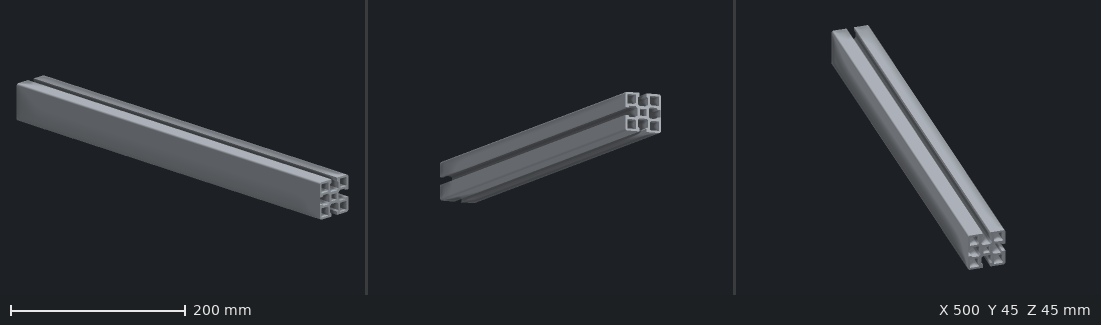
import cadquery as cq

length = 500.0
side = 45.0
edge_radius = 2.5
slot_opening = 9.0
slot_width = 13.0
core_width = 14.5
core_bore = 8.0
lip_depth = 4.0
lip_slope = 1.5
wall = 2.5
chamber_cut = 1.5
web_cut = 2.0
cover_wall = 0.3

half_side = side / 2
half_opening = slot_opening / 2
half_slot = slot_width / 2
half_core = core_width / 2


def prism(outline):
    """Extrude a closed (y, z) outline over the full length of the bar."""
    return cq.Workplane("YZ").polyline(outline).close().extrude(length)


def slot():
    """T-slot open toward +Z."""
    lip_end = half_side - lip_depth
    right = [
        (half_opening, half_side),
        (half_opening, lip_end),
        (half_slot, lip_end - lip_slope),
        (half_slot, half_core + web_cut),
        (half_slot - web_cut, half_core),
    ]
    left = [(-y, z) for y, z in reversed(right)]
    return prism(right + left)


def chamber():
    """Hollow of the +Y +Z corner, cut off toward the core."""
    near = half_slot + wall
    far = half_side - wall
    return prism([
        (near + chamber_cut, near),
        (far, near),
        (far, far),
        (near, far),
        (near, near + chamber_cut),
    ])


def turn(solid, quarters):
    """Turn a solid about the bar axis, each quarter taking +Y to +Z."""
    return solid.rotate((0, 0, 0), (1, 0, 0), 90 * quarters)


bar = cq.Workplane("YZ").rect(side, side).extrude(length).edges("|X").fillet(edge_radius)

for quarters in range(4):
    bar = bar.cut(turn(chamber(), quarters))
    bar = bar.cut(turn(slot(), quarters))

cover_inside = cover_wall - half_side
cover = prism([
    (-half_side, -half_opening),
    (cover_inside, -half_opening),
    (cover_inside, half_opening),
    (-half_side, half_opening),
])
bar = bar.union(cover)

bore = cq.Workplane("YZ").rect(core_bore, core_bore).extrude(length)
result = bar.cut(bore)